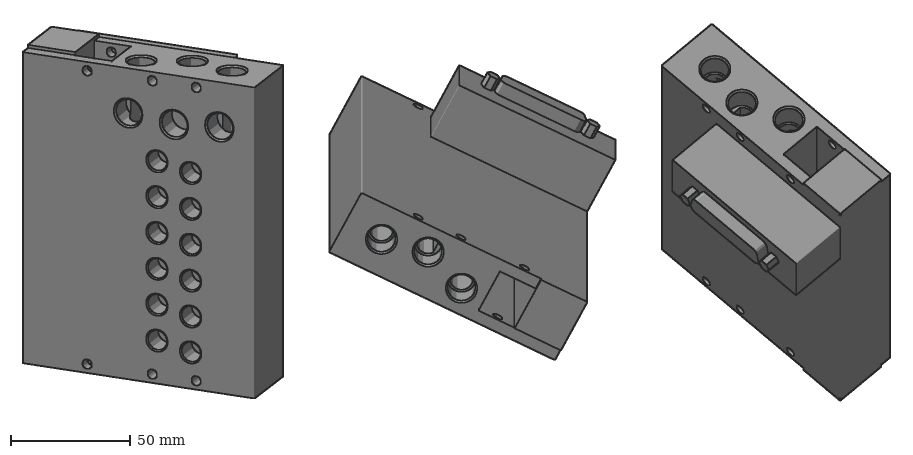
import cadquery as cq
import math


BLOCK_WIDTH = 106.6
BLOCK_DEPTH = 30.0
TOTAL_HEIGHT = 142.0
COVER_THICKNESS = 1.4
BLOCK_HEIGHT = TOTAL_HEIGHT - 2 * COVER_THICKNESS
BLOCK_Z_RANGE = (-BLOCK_HEIGHT / 2, BLOCK_HEIGHT / 2)
BLOCK_EDGE_RADIUS = 0.5

COVER_WIDTH = 21.9
COVER_FRONT = 5.5

DUCT_LEFT = COVER_WIDTH
DUCT_RIGHT = 38.8
DUCT_FRONT = 5.3
DUCT_BACK = 25.0

HOUSING_WIDTH = 73.8
HOUSING_BACK = 56.0
HOUSING_BOTTOM = 36.6
HOUSING_TOP = 60.8
HOUSING_EDGE_RADIUS = 0.4

TOTAL_DEPTH = 61.8
CONNECTOR_CENTER_X = 36.9
SHELL_TOP = 57.0
SHELL_BOTTOM = 47.5
SHELL_TOP_HALF_WIDTH = 19.0
SHELL_SIDE_ANGLE = 10.0
SHELL_CORNER_RADIUS = 2.7
JACKSCREW_SPACING = 47.0
JACKSCREW_ACROSS_CORNERS = 6.1
JACKSCREW_Z = 50.7

ROUND_CHANNELS = [(49.7, 11.0), (89.6, 15.2)]
FLATTED_CHANNEL = (69.6, 19.0)
CHANNEL_DIAMETER = 9.7
CHANNEL_FLAT_WIDTH = 7.7

LARGE_PORT_DIAMETER = 11.6
LARGE_PORT_RIM = 13.2
FRONT_LARGE_PORTS = [(48.5, 49.5), (69.6, 47.5), (90.5, 49.5)]
PORT_DEPTH = 11.1

SMALL_PORT_DIAMETER = 8.7
SMALL_PORT_RIM = 10.0
SMALL_PORT_COLUMNS = [(61.8, 30.0), (77.2, 27.0)]
SMALL_PORTS_PER_COLUMN = 6
SMALL_PORT_PITCH = 16.0

MOUNTING_HOLE_DIAMETER = 4.3
MOUNTING_HOLE_XS = [29.7, 59.6, 79.8]
MOUNTING_HOLE_Z = 65.6


def box_between(x_range, y_range, z_range):
    """Axis-aligned box spanning the given (low, high) ranges."""
    lows, highs = zip(x_range, y_range, z_range)
    sizes = [high - low for low, high in zip(lows, highs)]
    return cq.Workplane("XY").box(*sizes, centered=False).translate(lows)


def port(start, direction, diameter, rim_diameter):
    """Blind bore with a 45-degree rim chamfer, cut from start along direction."""
    chamfer = (rim_diameter - diameter) / 2
    bore = cq.Solid.makeCylinder(diameter / 2, PORT_DEPTH, start, direction)
    rim = cq.Solid.makeCone(rim_diameter / 2, diameter / 2, chamfer, start, direction)
    return cq.Workplane(bore).union(cq.Workplane(rim))


def make_block():
    block = box_between((0, BLOCK_WIDTH), (0, BLOCK_DEPTH), BLOCK_Z_RANGE)
    return block.edges("|Z").fillet(BLOCK_EDGE_RADIUS)


def make_covers():
    height_range = (-TOTAL_HEIGHT / 2, TOTAL_HEIGHT / 2)
    covers = box_between((0, COVER_WIDTH), (COVER_FRONT, BLOCK_DEPTH), height_range)
    block_space = box_between((0, BLOCK_WIDTH), (0, BLOCK_DEPTH), BLOCK_Z_RANGE)
    return covers.cut(block_space)


def make_housing():
    housing = box_between(
        (0, HOUSING_WIDTH), (BLOCK_DEPTH, HOUSING_BACK), (HOUSING_BOTTOM, HOUSING_TOP)
    )
    return housing.edges("|Y").fillet(HOUSING_EDGE_RADIUS)


def make_connector():
    length = TOTAL_DEPTH - HOUSING_BACK
    flare = (SHELL_TOP - SHELL_BOTTOM) * math.tan(math.radians(SHELL_SIDE_ANGLE))
    bottom_half_width = SHELL_TOP_HALF_WIDTH + flare
    back_plane = cq.Workplane("XZ", origin=(CONNECTOR_CENTER_X, HOUSING_BACK, 0))
    shell = (
        back_plane.moveTo(-SHELL_TOP_HALF_WIDTH, SHELL_TOP)
        .lineTo(SHELL_TOP_HALF_WIDTH, SHELL_TOP)
        .lineTo(bottom_half_width, SHELL_BOTTOM)
        .lineTo(-bottom_half_width, SHELL_BOTTOM)
        .close()
        .extrude(-length)
        .edges("|Y")
        .fillet(SHELL_CORNER_RADIUS)
    )
    jackscrews = (
        back_plane.pushPoints([(side * JACKSCREW_SPACING / 2, JACKSCREW_Z) for side in (-1, 1)])
        .polygon(6, JACKSCREW_ACROSS_CORNERS)
        .extrude(-length)
    )
    return shell.union(jackscrews)


def cut_channels(body):
    bottom_plane = cq.Workplane("XY", origin=(0, 0, -BLOCK_HEIGHT / 2))
    round_bores = (
        bottom_plane.pushPoints(ROUND_CHANNELS)
        .circle(CHANNEL_DIAMETER / 2)
        .extrude(BLOCK_HEIGHT)
    )
    middle = bottom_plane.center(*FLATTED_CHANNEL)
    flatted_bore = (
        middle.circle(CHANNEL_DIAMETER / 2)
        .extrude(BLOCK_HEIGHT)
        .intersect(middle.rect(CHANNEL_FLAT_WIDTH, CHANNEL_DIAMETER).extrude(BLOCK_HEIGHT))
    )
    body = body.cut(round_bores).cut(flatted_bore)
    for x, y in ROUND_CHANNELS + [FLATTED_CHANNEL]:
        for end in (-1, 1):
            start = cq.Vector(x, y, end * BLOCK_HEIGHT / 2)
            inward = cq.Vector(0, 0, -end)
            body = body.cut(port(start, inward, LARGE_PORT_DIAMETER, LARGE_PORT_RIM))
    return body


def cut_front_ports(body):
    inward = cq.Vector(0, 1, 0)
    for x, z in FRONT_LARGE_PORTS:
        body = body.cut(port(cq.Vector(x, 0, z), inward, LARGE_PORT_DIAMETER, LARGE_PORT_RIM))
    for x, top_z in SMALL_PORT_COLUMNS:
        for row in range(SMALL_PORTS_PER_COLUMN):
            start = cq.Vector(x, 0, top_z - row * SMALL_PORT_PITCH)
            body = body.cut(port(start, inward, SMALL_PORT_DIAMETER, SMALL_PORT_RIM))
    return body


def cut_mounting_holes(body):
    centers = [(x, end * MOUNTING_HOLE_Z) for x in MOUNTING_HOLE_XS for end in (-1, 1)]
    holes = (
        cq.Workplane("XZ")
        .pushPoints(centers)
        .circle(MOUNTING_HOLE_DIAMETER / 2)
        .extrude(-BLOCK_DEPTH)
    )
    return body.cut(holes)


duct = box_between((DUCT_LEFT, DUCT_RIGHT), (DUCT_FRONT, DUCT_BACK), BLOCK_Z_RANGE)

result = make_block().union(make_covers()).union(make_housing()).union(make_connector())
result = cut_channels(result.cut(duct))
result = cut_mounting_holes(cut_front_ports(result))